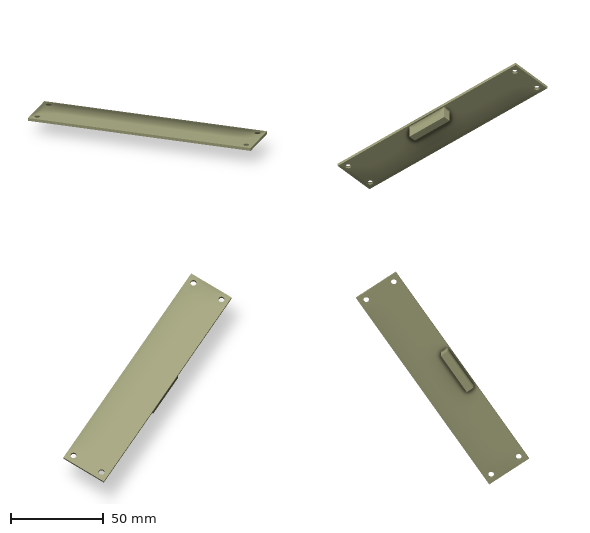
import cadquery as cq

plate_length = 128.0
plate_width = 26.0
plate_thickness = 1.6

hole_diameter = 3.2
hole_edge_distance = 4.0

overall_height = 8.69
block_length = 25.0
block_width = 4.3
block_height = overall_height - plate_thickness
block_edge_gap = 0.9
block_offset_x = 0.6


def make_plate():
    """Rectangular plate with four through holes."""
    hole_spacing_x = plate_length - 2 * hole_edge_distance
    hole_spacing_y = plate_width - 2 * hole_edge_distance
    return (
        cq.Workplane("XY")
        .rect(plate_length, plate_width)
        .extrude(plate_thickness)
        .faces(">Z")
        .workplane()
        .rect(hole_spacing_x, hole_spacing_y, forConstruction=True)
        .vertices()
        .hole(hole_diameter)
    )


def make_block():
    """Plain block below the plate, slightly off the middle of its length."""
    block_center_y = plate_width / 2 - block_edge_gap - block_width / 2
    return (
        cq.Workplane("XY")
        .center(block_offset_x, block_center_y)
        .rect(block_length, block_width)
        .extrude(-block_height)
    )


result = make_plate().union(make_block())